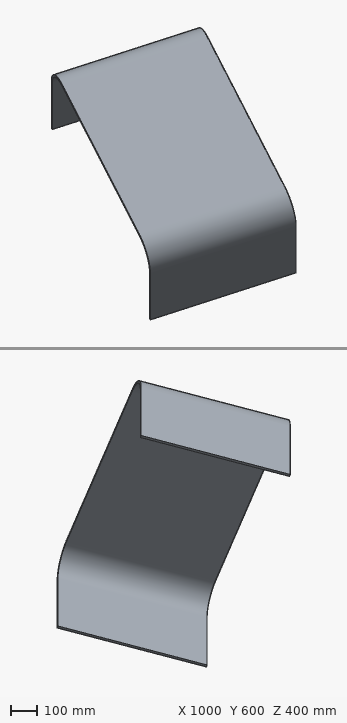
import cadquery as cq

length = 1000.0
depth = 600.0
height = 400.0

thickness = 10.0
inner_radius = 100.0
outer_radius = inner_radius + thickness


def arch(span, rise, radius):
    """Solid block standing on Z = 0 with its two upper edges along Y rounded."""
    block = cq.Workplane("XY").box(span, depth, rise, centered=(True, True, False))
    return block.edges("|Y and >Z").fillet(radius)


outside = arch(length, height, outer_radius)
inside = arch(length - 2 * thickness, height - thickness, inner_radius)
result = outside.cut(inside)